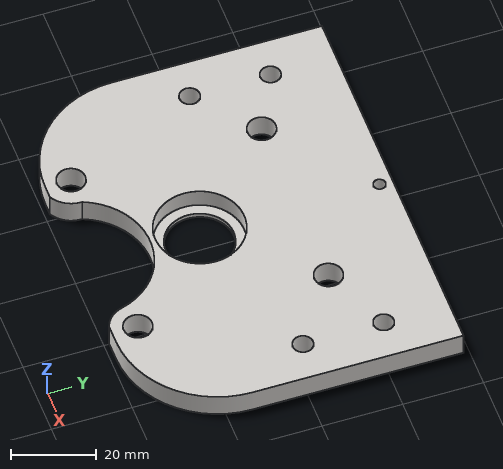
import cadquery as cq
import math

width = 100.0
depth = 77.3
thickness = 6.3
corner_radius = 25.0
half_width = width / 2

motor_x = -1.5
motor_y = 30.0
motor_hole_offset = 23.6
motor_hole_diameter = 7.0
bore_diameter = 16.8
counterbore_diameter = 22.0
counterbore_depth = 5.0

relief_radius = 17.7
left_lug_radius = 7.2
lug_y = motor_y - motor_hole_offset
lug_distance = math.hypot(motor_hole_offset, lug_y)
right_lug_radius = lug_distance - relief_radius

side_hole_x = 40.0
side_hole_rows = (41.0, 61.0)
side_hole_diameter = 5.0
back_hole_y = 74.0
back_hole_diameter = 3.0


def lug_points(side, radius):
    """Return where a lug meets the relief, its arc midpoint and its foot on the front edge."""
    lug_x = motor_x + side * motor_hole_offset
    along = (lug_distance**2 + radius**2 - relief_radius**2) / (2 * lug_distance)
    across = math.sqrt(max(radius**2 - along**2, 0.0))
    inward = motor_hole_offset / lug_distance
    downward = lug_y / lug_distance
    meet_x = along * inward + across * downward
    meet_y = across * inward - along * downward
    foot_x = math.sqrt(radius**2 - lug_y**2)
    middle_angle = (math.atan2(meet_y, meet_x) + math.atan2(-lug_y, foot_x)) / 2
    middle_x = radius * math.cos(middle_angle)
    middle_y = radius * math.sin(middle_angle)
    return (
        (lug_x - side * meet_x, lug_y + meet_y),
        (lug_x - side * middle_x, lug_y + middle_y),
        (lug_x - side * foot_x, 0),
    )


def make_plate():
    left_meet, left_middle, left_foot = lug_points(-1, left_lug_radius)
    right_meet, right_middle, right_foot = lug_points(1, right_lug_radius)
    return (
        cq.Workplane("XY")
        .moveTo(-half_width, depth)
        .lineTo(-half_width, corner_radius)
        .radiusArc((-half_width + corner_radius, 0), -corner_radius)
        .lineTo(*left_foot)
        .threePointArc(left_middle, left_meet)
        .threePointArc((motor_x, relief_radius), right_meet)
        .threePointArc(right_middle, right_foot)
        .lineTo(half_width - corner_radius, 0)
        .radiusArc((half_width, corner_radius), -corner_radius)
        .lineTo(half_width, depth)
        .close()
        .extrude(thickness)
    )


def drill(plate, points, diameter):
    cutter = cq.Workplane("XY").pushPoints(points).circle(diameter / 2).extrude(thickness)
    return plate.cut(cutter)


def cut_stepped_bore(plate):
    plate = drill(plate, [(motor_x, motor_y)], bore_diameter)
    counterbore = (
        cq.Workplane("XY", origin=(motor_x, motor_y, thickness))
        .circle(counterbore_diameter / 2)
        .extrude(-counterbore_depth)
    )
    return plate.cut(counterbore)


motor_holes = [
    (motor_x + sx * motor_hole_offset, motor_y + sy * motor_hole_offset)
    for sx in (-1, 1)
    for sy in (-1, 1)
]
side_holes = [(side * side_hole_x, y) for side in (-1, 1) for y in side_hole_rows]

result = cut_stepped_bore(make_plate())
result = drill(result, motor_holes, motor_hole_diameter)
result = drill(result, side_holes, side_hole_diameter)
result = drill(result, [(0, back_hole_y)], back_hole_diameter)